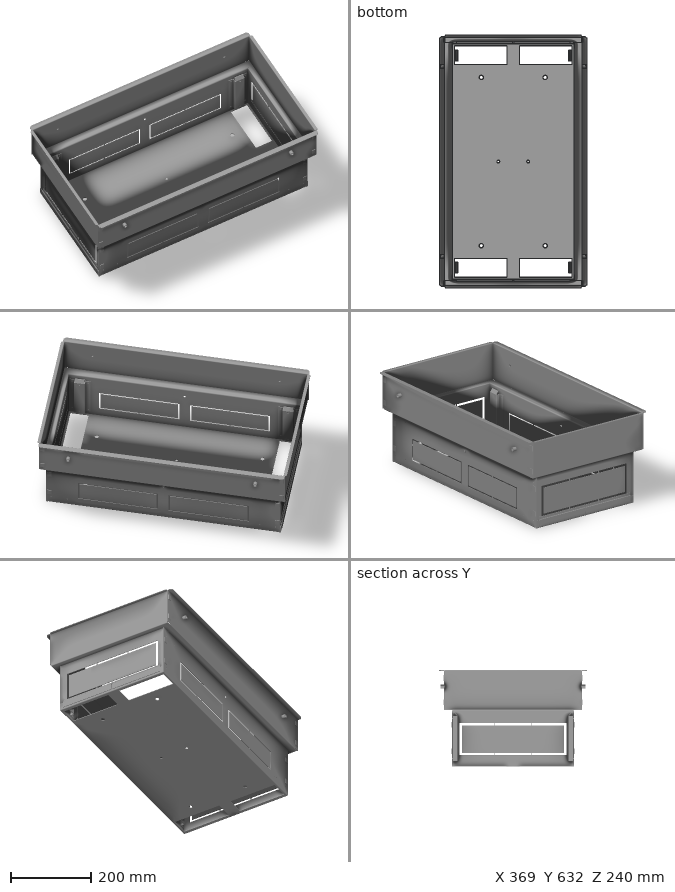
import cadquery as cq

SHEET = 1.5
INNER_BEND = 0.5
OUTER_BEND = INNER_BEND + SHEET
SIDE_STEP_BEND = 3.0

HEIGHT = 240.0
STEP_Z = 140.0
STEP_TOP_Z = STEP_Z + SHEET

RIM_X = 184.5
UPPER_X = 172.0
LOWER_X = 151.5
UPPER_INSIDE_X = UPPER_X - SHEET
LOWER_INSIDE_X = LOWER_X - SHEET

RIM_Y = 316.0
END_UPPER_Y = 309.0
END_LOWER_Y = 294.0
SIDE_OVERHANG = 2.5
SIDE_UPPER_Y = END_UPPER_Y + SIDE_OVERHANG
SIDE_LOWER_Y = END_LOWER_Y + SIDE_OVERHANG
SIDE_RIM_CHAMFER = 5.0
END_RIM_CHAMFER = 2.5

FLOOR_LIP_Y = 297.5
FLOOR_LIP_TOP_Z = 20.0
LIP_ROOT_Y = END_LOWER_Y - SHEET
OPENING_X = (16.0, 146.0)
OPENING_Y = (242.0, 288.0)
MOUNT_HOLE_D = 10.0
MOUNT_HOLE_X = 79.5
MOUNT_HOLE_Y = 209.5
CENTRE_HOLE_D = 6.0
CENTRE_HOLE_X = 37.0

SIDE_WINDOW_Y = (13.0, 216.5)
SIDE_WINDOW_Z = (26.5, 85.0)
SIDE_WINDOW_GAP = 4.0
END_WINDOW_X = 133.0
END_WINDOW_Z = (27.0, 108.5)
END_WINDOW_GAP = 6.0
END_TIE_X = 45.5
TIE_WIDTH = 2.0

SIDE_HOLE_D = 6.0
SIDE_HOLE_Z = 115.5

BRACKET_Y = 264.0
BRACKET_DEPTH = 12.0
HAT_WIDTH = 28.0
FLANGE_WIDTH = 12.5
BRACKET_Z = (13.0, 125.5)
BRACKET_MIDDLE_Z = sum(BRACKET_Z) / 2
HAT_BEND = 2.0
LUG_LEAN = 6.0
LUG_RISE = 8.0
PIN_HOLE_D = 3.0
PIN_HOLE_SPACING_Y = 40.5
PIN_HOLE_SPACING_Z = 100.0
PIN_HOLE_Y = (BRACKET_Y - PIN_HOLE_SPACING_Y / 2, BRACKET_Y + PIN_HOLE_SPACING_Y / 2)
PIN_HOLE_Z = (BRACKET_MIDDLE_Z - PIN_HOLE_SPACING_Z / 2, BRACKET_MIDDLE_Z + PIN_HOLE_SPACING_Z / 2)

TAB_HEIGHT = 14.0
TAB_LENGTH = 11.5
LOWER_TAB_Z = (38.0, 104.0)
UPPER_TAB_Z = (160.0, 220.5)

TONGUE_X = (1.0, 141.5)
TONGUE_TOP_Z = 28.5
TONGUE_SPLIT_TOP_Z = 25.0
TONGUE_STEP_Z = FLOOR_LIP_TOP_Z + 0.5
TONGUE_BOTTOM_Z = 5.0
END_WALL_BOTTOM_Z = SHEET + INNER_BEND

STANDOFF_D = 10.0
STANDOFF_BORE_D = 6.0
STANDOFF_REACH = 9.5
STANDOFF_Y = 237.0
STANDOFF_Z = 199.5


def block(x_range, y_range, z_range):
    """A box between two limits on each axis."""
    size = [abs(b - a) for a, b in (x_range, y_range, z_range)]
    low = [min(a, b) for a, b in (x_range, y_range, z_range)]
    return cq.Workplane("XY").box(*size, centered=False).translate(tuple(low))


def span(half):
    return (-half, half)


def prism_along_y(points, y_range):
    """Extrude an (x, z) outline between two Y limits."""
    start, end = y_range
    outline = cq.Workplane("XZ", origin=(0, start, 0)).polyline(points).close()
    return outline.extrude(start - end)


def prism_along_x(points, x_range):
    """Extrude a (y, z) outline between two X limits."""
    start, end = x_range
    return cq.Workplane("YZ", origin=(start, 0, 0)).polyline(points).close().extrude(end - start)


def bend(sheet, axis, corners):
    """Round the fold lines that run along `axis`; corners are (place across, z, radius)."""
    for across, z, radius in corners:
        near = (across, 0, z) if axis == "Y" else (0, across, z)
        sheet = sheet.edges("|" + axis).edges(cq.NearestToPointSelector(near)).fillet(radius)
    return sheet


def four_ways(shape):
    """A shape with its mirror images in X and Y."""
    pair = shape.union(shape.mirror("YZ"))
    return pair.union(pair.mirror("XZ"))


def stepped_wall(rim, upper, lower):
    """Outline of rim, upper wall, step and lower wall, as outer then inner corner points."""
    outer = [(lower, STEP_Z), (upper, STEP_Z), (upper, HEIGHT - SHEET), (rim, HEIGHT - SHEET)]
    inner = [(rim, HEIGHT), (upper - SHEET, HEIGHT), (upper - SHEET, STEP_TOP_Z), (lower - SHEET, STEP_TOP_Z)]
    return outer + inner


def wall_bends(upper, lower, step_bend):
    """Fold lines of a stepped wall."""
    return [
        (lower, STEP_Z, INNER_BEND),
        (upper, STEP_Z, OUTER_BEND),
        (upper, HEIGHT - SHEET, INNER_BEND),
        (upper - SHEET, HEIGHT, OUTER_BEND),
        (upper - SHEET, STEP_TOP_Z, INNER_BEND),
        (lower - SHEET, STEP_TOP_Z, step_bend),
    ]


def window_gap(width_range, z_range, gap, ties):
    """Cutter for a window gap, in the XZ plane and through Y = -1 to 1; ties are X places."""
    left, right = width_range
    bottom, top = z_range
    cutter = block(width_range, span(6), z_range)
    cutter = cutter.cut(block((left + gap, right - gap), span(6), (bottom + gap, top - gap)))
    for tie in ties:
        cutter = cutter.cut(block((tie - TIE_WIDTH / 2, tie + TIE_WIDTH / 2), span(6), z_range))
    return cutter


def folded_tray():
    """Floor and both stepped sides as one fold, trimmed to length, with chamfered rims."""
    side = [(LOWER_X, 0)] + stepped_wall(RIM_X, UPPER_X, LOWER_X) + [(LOWER_INSIDE_X, SHEET), (0, SHEET), (0, 0)]
    half = prism_along_y(side, span(SIDE_UPPER_Y))
    floor_bends = [(LOWER_X, 0, OUTER_BEND), (LOWER_INSIDE_X, SHEET, INNER_BEND)]
    half = bend(half, "Y", wall_bends(UPPER_X, LOWER_X, SIDE_STEP_BEND) + floor_bends)
    rim_corners = half.faces(">X").edges("|Z")
    half = rim_corners.chamfer(SIDE_RIM_CHAMFER)
    sheet = half.union(half.mirror("YZ"))
    for side_y in (-1, 1):
        below_step = (0, STEP_TOP_Z + INNER_BEND)
        sheet = sheet.cut(block(span(RIM_X), (side_y * SIDE_LOWER_Y, side_y * RIM_Y), below_step))
    return sheet


def floor_lip():
    """Upturned lip at the +Y end of the floor."""
    inside_y = FLOOR_LIP_Y - SHEET
    outline = [
        (LIP_ROOT_Y, 0), (FLOOR_LIP_Y, 0), (FLOOR_LIP_Y, FLOOR_LIP_TOP_Z),
        (inside_y, FLOOR_LIP_TOP_Z), (inside_y, SHEET), (LIP_ROOT_Y, SHEET),
    ]
    lip = prism_along_x(outline, span(LOWER_X))
    return bend(lip, "X", [(FLOOR_LIP_Y, 0, OUTER_BEND), (inside_y, SHEET, INNER_BEND)])


def side_wall_holes():
    """Cutter for every round hole that runs along X."""
    across = cq.Workplane("YZ", origin=(-RIM_X, 0, 0))
    pins = [(side * y, z) for side in (-1, 1) for y in PIN_HOLE_Y for z in PIN_HOLE_Z]
    bores = [(side * STANDOFF_Y, STANDOFF_Z) for side in (-1, 1)]
    holes = across.pushPoints(pins).circle(PIN_HOLE_D / 2).extrude(2 * RIM_X)
    holes = holes.union(across.pushPoints(bores).circle(STANDOFF_BORE_D / 2).extrude(2 * RIM_X))
    return holes.union(across.center(0, SIDE_HOLE_Z).circle(SIDE_HOLE_D / 2).extrude(2 * RIM_X))


def standoff():
    """Boss outside the +X, +Y upper side wall."""
    base = cq.Workplane("YZ", origin=(UPPER_INSIDE_X, STANDOFF_Y, STANDOFF_Z))
    return base.circle(STANDOFF_D / 2).extrude(SHEET + STANDOFF_REACH)


def floor_openings():
    """Cutter for the rectangular openings and round holes of the floor."""
    floor_z = (-SHEET, 2 * SHEET)
    openings = four_ways(block(OPENING_X, OPENING_Y, floor_z))
    base = cq.Workplane("XY", origin=(0, 0, -SHEET))
    mounts = base.rect(2 * MOUNT_HOLE_X, 2 * MOUNT_HOLE_Y, forConstruction=True).vertices()
    openings = openings.union(mounts.circle(MOUNT_HOLE_D / 2).extrude(3 * SHEET))
    centres = base.pushPoints([(-CENTRE_HOLE_X, 0), (CENTRE_HOLE_X, 0)])
    return openings.union(centres.circle(CENTRE_HOLE_D / 2).extrude(3 * SHEET))


def make_tray():
    tray = folded_tray()
    for side in (-1, 1):
        tray = tray.cut(block(span(LOWER_INSIDE_X), (side * LIP_ROOT_Y, side * RIM_Y), (0, FLOOR_LIP_TOP_Z)))
    tray = tray.union(floor_lip()).union(floor_lip().mirror("XZ"))
    tray = tray.union(four_ways(standoff()))
    tie = sum(SIDE_WINDOW_Y) / 2
    gap = window_gap(SIDE_WINDOW_Y, SIDE_WINDOW_Z, SIDE_WINDOW_GAP, [tie])
    gap = gap.rotate((0, 0, 0), (0, 0, 1), 90).translate((LOWER_X, 0, 0))
    return tray.cut(four_ways(gap)).cut(side_wall_holes()).cut(floor_openings())


def hooked_tab(wall_x, wall_y, middle_z):
    """Tab on the +X side: out through the side wall, then folded back along its outer face."""
    z_range = (middle_z - TAB_HEIGHT / 2, middle_z + TAB_HEIGHT / 2)
    neck = block((wall_x - SHEET, wall_x + SHEET), (wall_y - SHEET, wall_y), z_range)
    tab = neck.union(block((wall_x, wall_x + SHEET), (wall_y - TAB_LENGTH, wall_y), z_range))
    return tab.edges(">X and >Y").fillet(OUTER_BEND)


def tongues():
    """Strip on the outside of the end wall, stepped outward and split to hang over the floor lip."""
    strip_y = END_LOWER_Y + SHEET
    tongue_y = FLOOR_LIP_Y + SHEET
    outline = [
        (END_LOWER_Y, TONGUE_TOP_Z), (strip_y, TONGUE_TOP_Z),
        (strip_y, TONGUE_STEP_Z + SHEET), (tongue_y, TONGUE_STEP_Z + SHEET),
        (tongue_y, TONGUE_BOTTOM_Z), (FLOOR_LIP_Y, TONGUE_BOTTOM_Z),
        (FLOOR_LIP_Y, TONGUE_STEP_Z), (END_LOWER_Y, TONGUE_STEP_Z),
    ]
    gap_x, outer_x = TONGUE_X
    strip = prism_along_x(outline, span(outer_x))
    strip = bend(strip, "X", [(tongue_y, TONGUE_STEP_Z + SHEET, INNER_BEND)])
    return strip.cut(block(span(gap_x), (END_LOWER_Y, RIM_Y), (0, TONGUE_SPLIT_TOP_Z)))


def make_end_panel():
    """End panel at +Y."""
    outline = stepped_wall(RIM_Y, END_UPPER_Y, END_LOWER_Y)
    outline += [(END_LOWER_Y - SHEET, END_WALL_BOTTOM_Z), (END_LOWER_Y, END_WALL_BOTTOM_Z)]
    panel = prism_along_x(outline, span(UPPER_INSIDE_X))
    panel = bend(panel, "X", wall_bends(END_UPPER_Y, END_LOWER_Y, OUTER_BEND))
    panel = panel.faces(">Y").edges("|Z").chamfer(END_RIM_CHAMFER)
    for side in (-1, 1):
        beside_wall = (side * LOWER_INSIDE_X, side * RIM_X)
        panel = panel.cut(block(beside_wall, (0, SIDE_LOWER_Y), (0, STEP_TOP_Z)))
    panel = panel.union(tongues())
    gap = window_gap(span(END_WINDOW_X), END_WINDOW_Z, END_WINDOW_GAP, [-END_TIE_X, END_TIE_X])
    panel = panel.cut(gap.translate((0, END_LOWER_Y - 6, 0)))
    tabs = [(LOWER_X, END_LOWER_Y, z) for z in LOWER_TAB_Z]
    tabs += [(UPPER_X, END_UPPER_Y, z) for z in UPPER_TAB_Z]
    for place in tabs:
        tab = hooked_tab(*place)
        panel = panel.union(tab).union(tab.mirror("YZ"))
    return panel


def make_bracket():
    """Bracket in the +X, +Y corner, seated on the inside of the lower side wall."""
    seat_x = LOWER_INSIDE_X
    crest_x = seat_x - BRACKET_DEPTH
    hat_y = (BRACKET_Y - HAT_WIDTH / 2, BRACKET_Y + HAT_WIDTH / 2)
    cavity_y = (hat_y[0] + SHEET, hat_y[1] - SHEET)
    flanges_y = (hat_y[0] - FLANGE_WIDTH, hat_y[1] + FLANGE_WIDTH)
    bracket = block((crest_x, seat_x), hat_y, BRACKET_Z).edges("<X and |Z").fillet(HAT_BEND)
    bracket = bracket.union(block((seat_x - SHEET, seat_x), flanges_y, BRACKET_Z))
    bracket = bracket.cut(block((crest_x + SHEET, seat_x), cavity_y, BRACKET_Z))

    top_z = BRACKET_Z[1]
    lug = [
        (crest_x, top_z), (crest_x + LUG_LEAN, top_z + LUG_RISE),
        (crest_x + LUG_LEAN + SHEET, top_z + LUG_RISE), (crest_x + SHEET, top_z),
    ]
    bracket = bracket.union(prism_along_y(lug, cavity_y))

    holes = cq.Workplane("YZ", origin=(crest_x, 0, 0))
    holes = holes.pushPoints([(y, z) for y in (BRACKET_Y, *PIN_HOLE_Y) for z in PIN_HOLE_Z])
    return bracket.cut(holes.circle(PIN_HOLE_D / 2).extrude(BRACKET_DEPTH))


back_panel = make_end_panel()
front_panel = back_panel.mirror("XZ")
tray = make_tray().cut(back_panel).cut(front_panel)
right_bracket = make_bracket()
brackets = []
for bracket in (right_bracket, right_bracket.mirror("YZ")):
    brackets += [bracket, bracket.mirror("XZ")]

bodies = [tray, back_panel, front_panel, *brackets]
result = cq.Compound.makeCompound([solid for body in bodies for solid in body.solids().vals()])